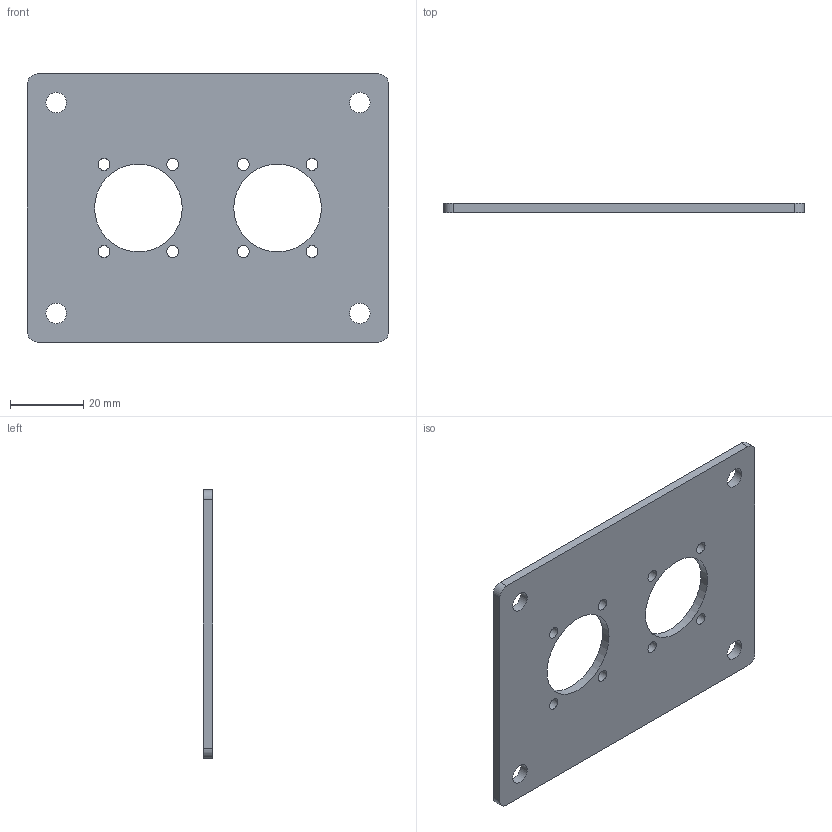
import cadquery as cq

plate_width = 98.81
plate_height = 73.41
plate_thickness = 2.54
corner_radius = 2.72

mounting_hole_diameter = 5.6
mounting_hole_inset = 7.87

opening_diameter = 24.0
opening_spacing = 38.1
screw_hole_diameter = 3.25
screw_spacing_x = 18.82
screw_spacing_z = 23.85


def corner_points(spacing_x, spacing_z, center_x=0.0):
    """Corners of a rectangle centred at center_x on the plate's middle line."""
    return [
        (center_x + side_x * spacing_x / 2, side_z * spacing_z / 2)
        for side_x in (-1, 1)
        for side_z in (-1, 1)
    ]


def make_plate():
    """Flat plate with rounded corners, centred on the origin."""
    plate = cq.Workplane("XY").box(plate_width, plate_thickness, plate_height)
    return plate.edges("|Y").fillet(corner_radius)


def through_holes(centers, diameter):
    """Cylinders along Y that pass right through the plate."""
    return (
        cq.Workplane("XZ", origin=(0, plate_thickness / 2, 0))
        .pushPoints(centers)
        .circle(diameter / 2)
        .extrude(plate_thickness)
    )


def cut_mounting_holes(plate):
    spacing_x = plate_width - 2 * mounting_hole_inset
    spacing_z = plate_height - 2 * mounting_hole_inset
    centers = corner_points(spacing_x, spacing_z)
    return plate.cut(through_holes(centers, mounting_hole_diameter))


def cut_opening(plate, center_x):
    """Cut one round opening and its four screw holes."""
    screw_centers = corner_points(screw_spacing_x, screw_spacing_z, center_x)
    plate = plate.cut(through_holes([(center_x, 0)], opening_diameter))
    return plate.cut(through_holes(screw_centers, screw_hole_diameter))


result = cut_mounting_holes(make_plate())
for opening_x in (-opening_spacing / 2, opening_spacing / 2):
    result = cut_opening(result, opening_x)